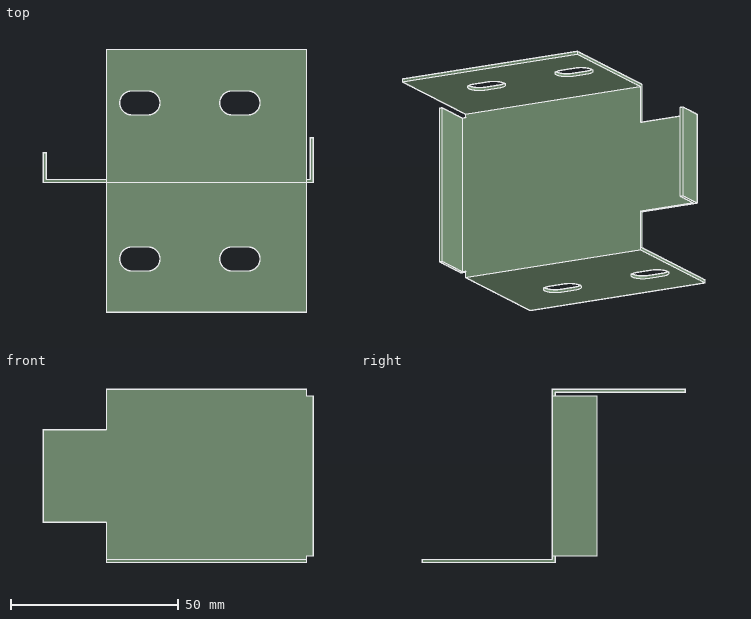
import cadquery as cq

thickness = 1.0
web_length = 60.0
web_height = 52.0

overall_depth = 78.8
flange_depth = (overall_depth + thickness) / 2

left_reach = 18.95
left_height = 27.8
left_lip_depth = 9.0
right_reach = 2.0
right_height = 48.0
right_lip_depth = 13.45

slot_length = 12.0
slot_width = 7.1
slot_first_x = 10.05
slot_pitch = 30.0
slot_edge_distance = 16.0

mid_height = web_height / 2
top_flange_back = flange_depth
bottom_flange_front = thickness - flange_depth


def plate(x, y, z, length, depth, height):
    """Rectangular plate with its lowest corner at (x, y, z)."""
    return cq.Workplane("XY").box(length, depth, height, centered=False).translate((x, y, z))


def side_tab(inner_x, outer_x, height, lip_depth):
    """Web extension centred in height, with a lip bent back at its outer end."""
    bottom = mid_height - height / 2
    extension = plate(min(inner_x, outer_x), 0, bottom, abs(outer_x - inner_x), thickness, height)
    lip_x = outer_x if outer_x < inner_x else outer_x - thickness
    return extension.union(plate(lip_x, 0, bottom, thickness, lip_depth, height))


web = plate(0, 0, 0, web_length, thickness, web_height)
top_flange = plate(0, 0, web_height - thickness, web_length, flange_depth, thickness)
bottom_flange = plate(0, bottom_flange_front, 0, web_length, flange_depth, thickness)
left_tab = side_tab(0, -left_reach, left_height, left_lip_depth)
right_tab = side_tab(web_length, web_length + right_reach, right_height, right_lip_depth)

slot_centers = [
    (slot_first_x + column * slot_pitch, y)
    for column in range(2)
    for y in (top_flange_back - slot_edge_distance, bottom_flange_front + slot_edge_distance)
]
slots = (
    cq.Workplane("XY")
    .pushPoints(slot_centers)
    .slot2D(slot_length, slot_width)
    .extrude(web_height)
)

result = web.union(top_flange).union(bottom_flange).union(left_tab).union(right_tab).cut(slots)